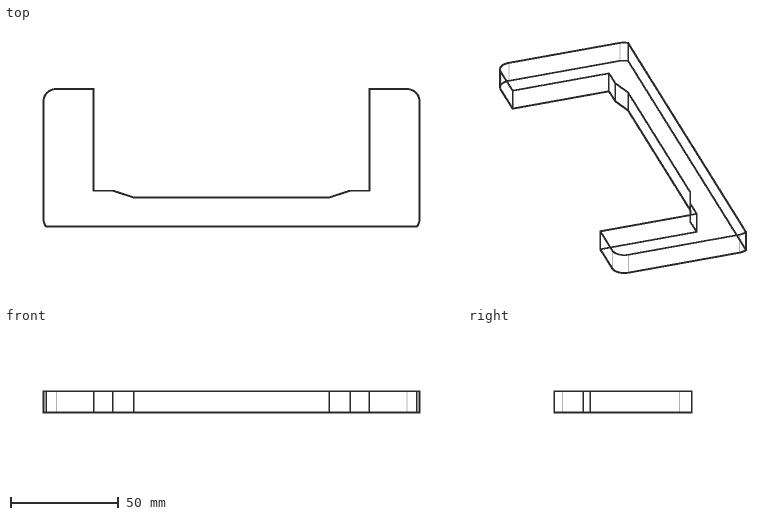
import cadquery as cq
import math

length = 175.0
depth = 64.0
thickness = 10.0

arm_width = 23.5
shoulder_height = 16.8
bar_height = 13.6
shoulder_length = 9.0
slope_length = 9.6

corner_radius = 6.0
front_arc_height = 3.7

half_length = length / 2
front = -depth / 2
back = depth / 2
arm_inner = half_length - arm_width
shoulder_end = arm_inner - shoulder_length
slope_end = shoulder_end - slope_length
arc_center_x = half_length - corner_radius


def on_corner_arc(center_y, angle):
    """Point on a right-hand corner arc, at an angle measured from +X."""
    return (
        arc_center_x + corner_radius * math.cos(angle),
        center_y + corner_radius * math.sin(angle),
    )


def right_half():
    """Right half of the handle, from the plane of symmetry outwards."""
    front_center_y = front + front_arc_height
    back_center_y = back - corner_radius
    front_angle = -math.asin(front_arc_height / corner_radius)
    return (
        cq.Workplane("XY", origin=(0, 0, -thickness / 2))
        .moveTo(0, front)
        .lineTo(*on_corner_arc(front_center_y, front_angle))
        .threePointArc(
            on_corner_arc(front_center_y, front_angle / 2),
            on_corner_arc(front_center_y, 0),
        )
        .lineTo(half_length, back_center_y)
        .threePointArc(
            on_corner_arc(back_center_y, math.pi / 4),
            on_corner_arc(back_center_y, math.pi / 2),
        )
        .lineTo(arm_inner, back)
        .lineTo(arm_inner, front + shoulder_height)
        .lineTo(shoulder_end, front + shoulder_height)
        .lineTo(slope_end, front + bar_height)
        .lineTo(0, front + bar_height)
        .close()
        .extrude(thickness)
    )


half = right_half()
result = half.union(half.mirror("YZ")).clean()